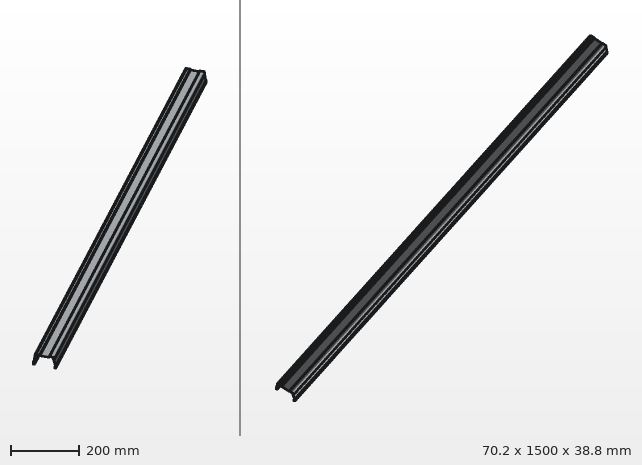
import cadquery as cq
import math

width = 70.15
length = 1500.0
height = 38.75
half_width = width / 2

wall = 1.2

recess_depth = 3.0
recess_top_half = 14.8
recess_floor_half = 13.2
corner_radius = 3.8
inner_corner_radius = 1.0

bow_radius = 130.0
bow_center_z = -2.0
taper_bottom_z = 18.0
shoulder_inner_x = 25.0

top_band_step = 1.2
top_band_bottom_z = 30.5
foot_band_step = 1.4
foot_band_top_z = 7.5
foot_radius = 2.0
bow_center_x = half_width - foot_band_step - bow_radius

lip_reach = 4.6
lip_height = 2.0


def bow_x(z, offset):
    """X of the side wall's bow at height z, on the arc moved outward by offset."""
    radius = bow_radius + offset
    return bow_center_x + math.sqrt(radius**2 - (z - bow_center_z) ** 2)


def bow_point(z, offset):
    """Point (X, Z) on the bow at height z."""
    return (bow_x(z, offset), z)


def bow_middle(z_start, z_end, offset):
    """Point on the bow midway in height between two of its points."""
    return bow_point((z_start + z_end) / 2, offset)


def side_wall():
    """Right-hand side wall: bowed web, proud bands at its top and foot, and the lip."""
    lip_x = half_width - lip_reach
    outline = (
        cq.Workplane("XZ")
        .moveTo(lip_x, 0)
        .lineTo(half_width, 0)
        .lineTo(half_width, foot_band_top_z)
        .lineTo(*bow_point(foot_band_top_z, 0))
        .threePointArc(bow_middle(foot_band_top_z, top_band_bottom_z, 0), bow_point(top_band_bottom_z, 0))
        .lineTo(*bow_point(top_band_bottom_z, top_band_step))
        .threePointArc(bow_middle(top_band_bottom_z, height, top_band_step), bow_point(height, top_band_step))
        .lineTo(shoulder_inner_x, height)
        .lineTo(*bow_point(taper_bottom_z, -wall))
        .threePointArc(bow_middle(taper_bottom_z, lip_height, -wall), bow_point(lip_height, -wall))
        .lineTo(lip_x, lip_height)
        .close()
    )
    wall_solid = outline.extrude(length / 2, both=True)
    corner = cq.selectors.NearestToPointSelector((bow_x(height, top_band_step), 0, height))
    foot = cq.selectors.NearestToPointSelector((half_width, 0, 0))
    wall_solid = wall_solid.edges("|Y").edges(corner).fillet(corner_radius)
    return wall_solid.edges("|Y").edges(foot).fillet(foot_radius)


def top_panel():
    """Top sheet of even thickness with the shallow recess along its middle."""
    edge_x = shoulder_inner_x + wall / 2
    slope_angle = math.atan2(recess_depth, recess_top_half - recess_floor_half)
    kink_shift = wall * math.tan(slope_angle / 2)
    upper_right = [
        (recess_floor_half, height - recess_depth),
        (recess_top_half, height),
        (edge_x, height),
    ]
    lower_right = [
        (edge_x, height - wall),
        (recess_top_half + kink_shift, height - wall),
        (recess_floor_half + kink_shift, height - recess_depth - wall),
    ]
    right_half = upper_right + lower_right
    left_half = [(-x, z) for x, z in reversed(right_half)]
    return cq.Workplane("XZ").polyline(right_half + left_half).close().extrude(length / 2, both=True)


def round_inner_corners(body):
    """Fillet the inside corners where the top panel meets the two side walls."""
    taper_base_x = bow_x(taper_bottom_z, -wall)
    taper_run = (taper_base_x - shoulder_inner_x) / (height - taper_bottom_z)
    corner_x = shoulder_inner_x + taper_run * wall
    for side in (-1, 1):
        corner = cq.selectors.NearestToPointSelector((side * corner_x, 0, height - wall))
        body = body.edges("|Y").edges(corner).fillet(inner_corner_radius)
    return body


right_wall = side_wall()
cover = top_panel().union(right_wall).union(right_wall.mirror("YZ")).clean()
result = round_inner_corners(cover)